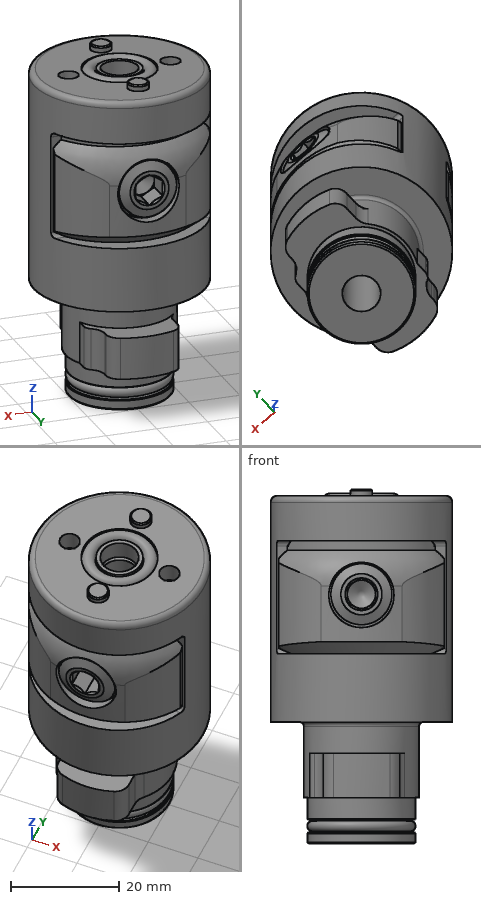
import cadquery as cq
import math

total_height = 65.5
body_diameter = 33.6
body_radius = body_diameter / 2
body_bottom = 22.45
body_top = 64.3
top_rounding = 1.2
bore_radius = 3.55
overrun = 0.65

shank_radius = 10.7
shank_flare = 0.7
shank_bottom = 8.5
spigot_radius = 10.0
spigot_edge_chamfer = 0.3
spigot_groove_chamfer = 0.2
spigot_ring_groove_bottom = 2.1
spigot_ring_groove_top = 4.45
spigot_ring_groove_radius = 8.4
spigot_ring_section = 1.0

face_groove_inner = 4.3
face_groove_outer = 7.1
face_groove_depth = 1.95
face_ring_section = 1.3
face_ring_top = 64.75
bore_groove_radius = 4.85
bore_groove_top_depth = 3.85
bore_groove_height = 0.85

pin_circle_radius = 10.0
pin_radius = 2.0
pin_chamfer = 0.25
pin_hole_radius = 1.9
pin_hole_depth = 3.9
drill_point_angle = 118.0

window_bottom = 35.1
window_top = 56.0
window_inner_y = 6.0
window_corner_radius = 0.9

jaw_axis_offset = 2.5
jaw_neck_radius = 16.1
jaw_radius = 19.05
jaw_neck_bottom = 54.2
jaw_dome_bottom = 47.65
jaw_taper_top = 37.3
jaw_half_width = 15.25
jaw_back_chamfer = 1.05

screw_recess_z = 45.95
screw_recess_radius = 6.0
screw_recess_floor_y = 14.4
screw_z = 46.1
screw_face_y = 16.2
screw_radius = 5.6
screw_bevel_depth = 0.85
screw_face_radius = 3.8
socket_corner_radius = 3.0
socket_depth = 4.6

lug_top = 16.7
lug_radius = 15.6
lug_side_x = 7.1
lug_corner_radius = 2.8
lug_root_radius = 3.5
lug_step_x = 9.55
lug_step_rounding = 1.8
lug_hollow_start_y = 11.4
lug_hollow_radius = 3.4


def ring_block(inner, outer, bottom, top):
    """Tube about Z between two heights."""
    tube = cq.Workplane("XY").workplane(offset=bottom).circle(outer)
    if inner > 0:
        tube = tube.circle(inner)
    return tube.extrude(top - bottom)


def seal_ring(centre_radius, centre_z, section):
    """Round-section ring about Z."""
    return (
        cq.Workplane("XZ")
        .center(-centre_radius, centre_z)
        .circle(section)
        .revolve(360, (centre_radius, 0), (centre_radius, 1))
    )


def drilled_hole(radius, depth):
    """Hole tool pointing down from the origin, ending in a drill point."""
    point_depth = radius / math.tan(math.radians(drill_point_angle / 2))
    return (
        cq.Workplane("XZ")
        .polyline([(0, 0), (radius, 0), (radius, -depth), (0, -depth - point_depth)])
        .close()
        .revolve(360, (0, 0), (0, 1))
    )


def both_sides(shape):
    """The -Y feature together with its half-turn copy on +Y."""
    return [shape, shape.rotate((0, 0, 0), (0, 0, 1), 180)]


def make_body():
    """Turned body, shank and grooved spigot, without the bore."""
    flare_radius = shank_radius + shank_flare
    corner = top_rounding * (1 - math.sqrt(0.5))
    chamfer = spigot_edge_chamfer
    lip = spigot_groove_chamfer
    return (
        cq.Workplane("XZ")
        .moveTo(0, 0)
        .lineTo(spigot_radius - chamfer, 0)
        .lineTo(spigot_radius, chamfer)
        .lineTo(spigot_radius, spigot_ring_groove_bottom - lip)
        .lineTo(spigot_radius - lip, spigot_ring_groove_bottom)
        .lineTo(spigot_ring_groove_radius, spigot_ring_groove_bottom)
        .lineTo(spigot_ring_groove_radius, spigot_ring_groove_top)
        .lineTo(spigot_radius - lip, spigot_ring_groove_top)
        .lineTo(spigot_radius, spigot_ring_groove_top + lip)
        .lineTo(spigot_radius, shank_bottom)
        .lineTo(shank_radius, shank_bottom)
        .lineTo(shank_radius, body_bottom - shank_flare)
        .radiusArc((flare_radius, body_bottom), shank_flare)
        .lineTo(body_radius, body_bottom)
        .lineTo(body_radius, body_top - top_rounding)
        .threePointArc((body_radius - corner, body_top - corner), (body_radius - top_rounding, body_top))
        .lineTo(0, body_top)
        .close()
        .revolve(360, (0, 0), (0, 1))
    )


def make_window():
    """Cutter for the -Y window."""
    depth = body_radius - window_inner_y + overrun
    return (
        cq.Workplane("XY")
        .box(2 * (body_radius + overrun), depth, window_top - window_bottom, centered=(True, False, False))
        .translate((0, -window_inner_y - depth, window_bottom))
        .edges("|X and >Y")
        .fillet(window_corner_radius)
    )


def make_jaw():
    """The -Y jaw, trimmed to the body cylinder and the window."""
    dome_step = jaw_radius - jaw_neck_radius
    dome_height = jaw_neck_bottom - jaw_dome_bottom
    dome_radius = (dome_step**2 + dome_height**2) / (2 * dome_step)
    turned = (
        cq.Workplane("XZ")
        .moveTo(0, window_bottom)
        .lineTo(jaw_neck_radius, window_bottom)
        .lineTo(jaw_radius, jaw_taper_top)
        .lineTo(jaw_radius, jaw_dome_bottom)
        .radiusArc((jaw_neck_radius, jaw_neck_bottom), -dome_radius)
        .lineTo(jaw_neck_radius, window_top)
        .lineTo(0, window_top)
        .close()
        .revolve(360, (0, 0), (0, 1))
        .translate((0, jaw_axis_offset, 0))
    )
    block = (
        cq.Workplane("XY")
        .box(2 * jaw_half_width, body_radius, window_top - window_bottom, centered=(True, False, False))
        .translate((0, -window_inner_y - body_radius, window_bottom))
        .edges("|X and >Y")
        .chamfer(jaw_back_chamfer)
    )
    jaw = turned.intersect(block).intersect(ring_block(0, body_radius, window_bottom, window_top))

    recess = (
        cq.Workplane("XZ", origin=(0, -screw_recess_floor_y, screw_recess_z))
        .circle(screw_recess_radius)
        .extrude(body_radius)
    )
    return jaw.cut(recess).union(make_screw())


def make_screw():
    """Bevelled screw head, with its axis along Y."""
    bevel_start = screw_face_y - screw_bevel_depth
    return (
        cq.Workplane("XY")
        .moveTo(0, -window_inner_y)
        .lineTo(screw_radius, -window_inner_y)
        .lineTo(screw_radius, -bevel_start)
        .lineTo(screw_face_radius, -screw_face_y)
        .lineTo(0, -screw_face_y)
        .close()
        .revolve(360, (0, 0), (0, 1))
        .translate((0, 0, screw_z))
    )


def make_socket():
    """Cutter for the hex socket: lead-in chamfer, hexagon and conical end."""
    flat_radius = socket_corner_radius * math.cos(math.pi / 6)
    hexagon = (
        cq.Workplane("XZ", origin=(0, -screw_face_y, screw_z))
        .transformed(rotate=(0, 0, 90))
        .polygon(6, 2 * socket_corner_radius)
        .extrude(-socket_depth)
    )
    lead_in = (
        cq.Workplane("XZ")
        .polyline([(0, 0), (socket_corner_radius, 0), (0, -socket_corner_radius)])
        .close()
        .revolve(360, (0, 0), (0, 1))
    )
    drill = drilled_hole(flat_radius, socket_depth)
    tip = lead_in.union(drill).rotate((0, 0, 0), (1, 0, 0), 90)
    return hexagon.union(tip.translate((0, -screw_face_y, screw_z)))


def make_lug():
    """The -Y bayonet lug: plain root on +X, hooked step on -X."""
    root_x = lug_side_x + lug_root_radius
    root_reach = shank_radius + lug_root_radius
    root_y = math.sqrt(root_reach**2 - root_x**2)
    root_scale = shank_radius / root_reach
    corner_x = lug_side_x - lug_corner_radius
    corner_reach = lug_radius - lug_corner_radius
    corner_y = math.sqrt(corner_reach**2 - corner_x**2)
    rim_scale = lug_radius / corner_reach
    rim_x = corner_x * rim_scale
    rim_y = corner_y * rim_scale

    sweep = math.acos(1 - (lug_step_x - lug_side_x) / (lug_step_rounding + lug_hollow_radius))
    blend_x = lug_side_x + lug_hollow_radius * (1 - math.cos(sweep))
    blend_y = lug_hollow_start_y - lug_hollow_radius * math.sin(sweep)
    step_y = blend_y - lug_step_rounding * math.sin(sweep)
    step_root_y = math.sqrt(shank_radius**2 - lug_step_x**2)

    return (
        cq.Workplane("XY", origin=(0, 0, shank_bottom))
        .moveTo(0, 0)
        .lineTo(root_x * root_scale, -root_y * root_scale)
        .radiusArc((lug_side_x, -root_y), -lug_root_radius)
        .lineTo(lug_side_x, -corner_y)
        .radiusArc((rim_x, -rim_y), lug_corner_radius)
        .threePointArc((0, -lug_radius), (-rim_x, -rim_y))
        .radiusArc((-lug_side_x, -corner_y), lug_corner_radius)
        .lineTo(-lug_side_x, -lug_hollow_start_y)
        .radiusArc((-blend_x, -blend_y), -lug_hollow_radius)
        .radiusArc((-lug_step_x, -step_y), lug_step_rounding)
        .lineTo(-lug_step_x, -step_root_y)
        .close()
        .extrude(lug_top - shank_bottom)
    )


result = make_body()

for window in both_sides(make_window()):
    result = result.cut(window)
for jaw in both_sides(make_jaw()):
    result = result.union(jaw)
for socket in both_sides(make_socket()):
    result = result.cut(socket)

for lug in both_sides(make_lug()):
    result = result.union(lug)

spigot_ring_z = (spigot_ring_groove_bottom + spigot_ring_groove_top) / 2
result = result.union(seal_ring(spigot_radius - spigot_ring_section, spigot_ring_z, spigot_ring_section))

face_groove_floor = body_top - face_groove_depth
result = result.cut(ring_block(face_groove_inner, face_groove_outer, face_groove_floor, total_height))
result = result.union(
    seal_ring(face_groove_outer - face_ring_section, face_ring_top - face_ring_section, face_ring_section)
)

bore_groove_top = body_top - bore_groove_top_depth
result = result.cut(ring_block(0, bore_radius, 0, total_height))
result = result.cut(ring_block(0, bore_groove_radius, bore_groove_top - bore_groove_height, bore_groove_top))

for side in (-1, 1):
    pin = ring_block(0, pin_radius, body_top - overrun, total_height).faces(">Z").chamfer(pin_chamfer)
    result = result.union(pin.translate((0, side * pin_circle_radius, 0)))
    hole = drilled_hole(pin_hole_radius, pin_hole_depth)
    result = result.cut(hole.translate((side * pin_circle_radius, 0, body_top)))